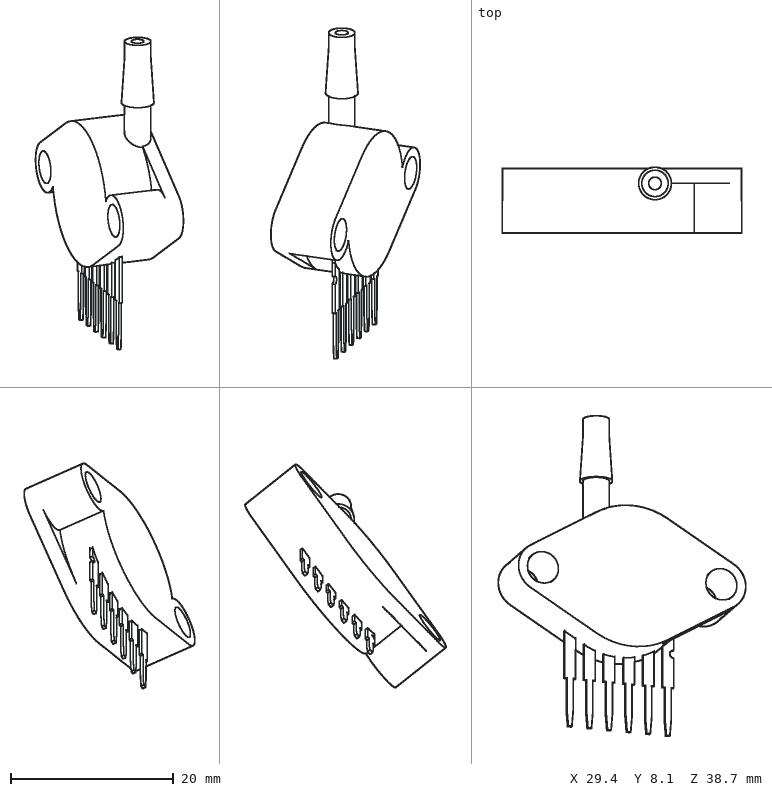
import cadquery as cq
import math

depth = 7.95
body_radius = 9.05
ear_radius = 3.17
ear_offset = 11.55
mount_hole_radius = 2.0
web_thickness = 1.85

port_x = 4.05
port_y = depth - web_thickness
port_top = 20.23
port_bottom = 6.58
tube_radius = 1.62
barb_radius = 2.0
bore_radius = 0.77
nozzle_length = 2.0
barb_length = 5.9

overall_height = 38.68
pin_count = 6
pin_pitch = 2.54
pin_y = 2.7
pin_thickness = 0.4
pin_top = -4.65
pin_shoulder = -12.3
pin_taper_start = -16.35
pin_bottom = port_top - overall_height
shank_width = 1.45
lead_width = 0.8
tip_width = 0.45
notch_radius = 0.5
notch_z = -7.95


def bar_along_y(radius, x):
    """Round bar through the full depth, centred on (x, Z = 0)."""
    return cq.Workplane("XZ").center(x, 0).circle(radius).extrude(-depth)


def ear_web(ear_side, corner, start_y):
    """Fill from the body axis to one ear, out to the line tangent to both circles.

    ear_side is +1 (right) or -1 (left), corner is +1 (upper) or -1 (lower).
    The web runs from start_y to the back face.
    """
    lean = math.asin((body_radius - ear_radius) / ear_offset)
    across = ear_side * math.sin(lean)
    up = corner * math.cos(lean)
    ear_x = ear_side * ear_offset
    points = [
        (0, 0),
        (body_radius * across, body_radius * up),
        (ear_x + ear_radius * across, ear_radius * up),
        (ear_x, 0),
    ]
    outline = cq.Workplane("XZ", origin=(0, start_y, 0)).polyline(points).close()
    return outline.extrude(start_y - depth)


def make_housing():
    housing = bar_along_y(body_radius, 0)
    for ear_side in (-1, 1):
        housing = housing.union(bar_along_y(ear_radius, ear_side * ear_offset))
        housing = housing.union(ear_web(ear_side, -ear_side, 0))
        housing = housing.union(ear_web(ear_side, ear_side, depth - web_thickness))
    for ear_side in (-1, 1):
        housing = housing.cut(bar_along_y(mount_hole_radius, ear_side * ear_offset))
    return housing


def make_port_socket():
    """Blind round hole that takes the lower end of the port."""
    floor = cq.Workplane("XY", origin=(port_x, port_y, port_bottom))
    return floor.circle(tube_radius).extrude(body_radius - port_bottom)


def make_port():
    barb_top = port_top - nozzle_length
    barb_bottom = barb_top - barb_length
    section = [
        (bore_radius, port_bottom),
        (tube_radius, port_bottom),
        (tube_radius, barb_bottom),
        (barb_radius, barb_bottom),
        (tube_radius, barb_top),
        (tube_radius, port_top),
        (bore_radius, port_top),
    ]
    profile = cq.Workplane("XZ").polyline(section).close()
    port = profile.revolve(360, (0, 0, 0), (0, 1, 0))
    return port.translate((port_x, port_y, 0))


def pin_center(index):
    return (index - (pin_count - 1) / 2) * pin_pitch


def make_pin(index):
    """Flat pin with a wide shank, a narrow lead and a tapered tip."""
    right_side = [
        (shank_width / 2, pin_top),
        (shank_width / 2, pin_shoulder),
        (lead_width / 2, pin_shoulder),
        (lead_width / 2, pin_taper_start),
        (tip_width / 2, pin_bottom),
    ]
    left_side = [(-x, z) for x, z in reversed(right_side)]
    plane = cq.Workplane("XZ", origin=(pin_center(index), pin_y, 0))
    return plane.polyline(right_side + left_side).close().extrude(pin_thickness / 2, both=True)


def make_pin_notch():
    """Round cutter for the half-round notch in the left edge of the first pin."""
    plane = cq.Workplane("XZ", origin=(pin_center(0) - shank_width / 2, pin_y, notch_z))
    return plane.circle(notch_radius).extrude(pin_thickness, both=True)


pins = [make_pin(index) for index in range(pin_count)]

housing = make_housing().cut(make_port_socket())
for pin in pins:
    housing = housing.cut(pin)

pins[0] = pins[0].cut(make_pin_notch())
port = make_port()

result = cq.Compound.makeCompound([housing.val(), port.val(), *[pin.val() for pin in pins]])